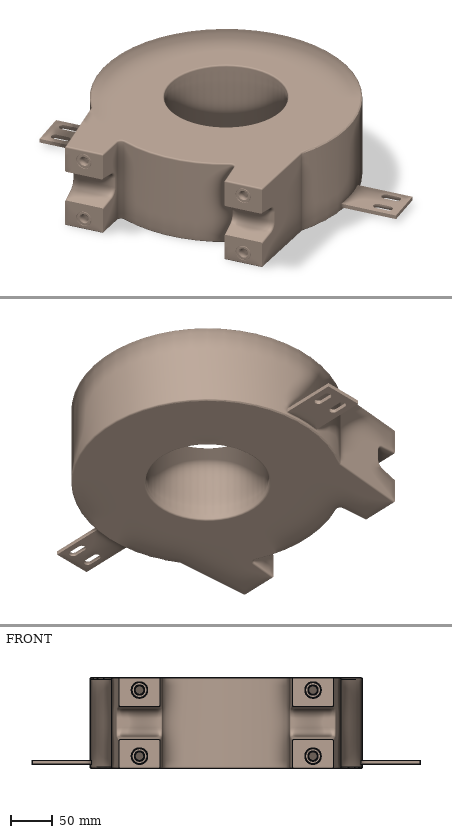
import cadquery as cq
import math

BODY_RADIUS = 165.0
BODY_HEIGHT = 110.0
BORE_DIAMETER = 150.0
RIM_FILLET = 2.0

LEG_END_Y = -190.0
LEG_CENTER_X = 105.0
LEG_END_WIDTH = 50.0
LEG_TAPER = math.tan(math.radians(5.0))
LEG_ROOT_Y = -80.0
LEG_ROOT_FILLET = 5.0

NOTCH_DEPTH = 30.0
NOTCH_MOUTH_WIDTH = 40.0
NOTCH_TAPER = math.tan(math.radians(10.0))
NOTCH_FLOOR_FILLET = 10.0
NOTCH_EDGE_FILLET = 2.0

INSERT_SPACING_Z = 80.0
INSERT_DIAMETER = 20.0
INSERT_GROOVE_WIDTH = 1.0
INSERT_GROOVE_DEPTH = 1.0
INSERT_HOLE_MOUTH_DIAMETER = 12.5
INSERT_HOLE_CHAMFER = 1.0
INSERT_HOLE_DEPTH = 20.0

PLATE_SPAN = 470.0
PLATE_WIDTH = 50.0
PLATE_THICKNESS = 5.0
PLATE_BOTTOM_Z = 5.0
PLATE_EMBEDDING = 10.0
PLATE_SLOT_LENGTH = 25.0
PLATE_SLOT_WIDTH = 10.0
PLATE_SLOT_SPACING = 25.0
PLATE_SLOT_CENTER_X = 212.5

SIDES = (-1, 1)
MID_Z = BODY_HEIGHT / 2
TOLERANCE = 0.01


def leg(side):
    """Tapered leg running from inside the ring to the leg end."""
    half_end = LEG_END_WIDTH / 2
    half_root = half_end + (LEG_ROOT_Y - LEG_END_Y) * LEG_TAPER
    center_x = side * LEG_CENTER_X
    outline = [
        (center_x - half_end, LEG_END_Y),
        (center_x + half_end, LEG_END_Y),
        (center_x + half_root, LEG_ROOT_Y),
        (center_x - half_root, LEG_ROOT_Y),
    ]
    return cq.Workplane("XY").polyline(outline).close().extrude(BODY_HEIGHT)


def notch(side):
    """Tapered channel with a rounded floor, running through one leg along X."""
    overshoot = 10.0
    floor_y = LEG_END_Y + NOTCH_DEPTH
    mouth_y = LEG_END_Y - overshoot
    half_floor = NOTCH_MOUTH_WIDTH / 2 - NOTCH_DEPTH * NOTCH_TAPER
    half_mouth = NOTCH_MOUTH_WIDTH / 2 + overshoot * NOTCH_TAPER
    outline = [
        (mouth_y, MID_Z - half_mouth),
        (floor_y, MID_Z - half_floor),
        (floor_y, MID_Z + half_floor),
        (mouth_y, MID_Z + half_mouth),
    ]
    half_length = LEG_END_WIDTH / 2 + overshoot
    plane = cq.Workplane("YZ", origin=(side * LEG_CENTER_X, 0, 0))
    channel = plane.polyline(outline).close().extrude(half_length, both=True)
    return channel.edges("|X and >Y").fillet(NOTCH_FLOOR_FILLET)


def is_notch_side_edge(edge):
    """True for the notch edges lying on the side faces of the legs."""
    box = edge.BoundingBox()
    half_end = LEG_END_WIDTH / 2
    half_at_floor = half_end + NOTCH_DEPTH * LEG_TAPER
    offset = abs(abs(edge.Center().x) - LEG_CENTER_X)
    on_side = half_end - TOLERANCE < offset < half_at_floor + TOLERANCE
    within_depth = box.ymax < LEG_END_Y + NOTCH_DEPTH + TOLERANCE
    half_mouth = NOTCH_MOUTH_WIDTH / 2 + TOLERANCE
    within_width = box.zmin > MID_Z - half_mouth and box.zmax < MID_Z + half_mouth
    return on_side and within_depth and within_width


def body():
    """Ring and legs with rounded rims, before the notches and inserts."""
    solid = cq.Workplane("XY").circle(BODY_RADIUS).extrude(BODY_HEIGHT)
    for side in SIDES:
        solid = solid.union(leg(side))
    bore = cq.Workplane("XY").circle(BORE_DIAMETER / 2).extrude(BODY_HEIGHT)
    solid = solid.cut(bore)
    half_gap = LEG_CENTER_X - LEG_END_WIDTH / 2
    gap = cq.selectors.BoxSelector(
        (-half_gap, LEG_END_Y + TOLERANCE, 0),
        (half_gap, -BORE_DIAMETER / 2 - TOLERANCE, BODY_HEIGHT),
    )
    solid = solid.edges("|Z").edges(gap).fillet(LEG_ROOT_FILLET)
    return solid.faces("<Z or >Z").edges().fillet(RIM_FILLET)


def insert_cutter(center_x, center_z):
    """Chamfered blind hole with a ring groove around it, cut into a leg end along +Y."""
    mouth_radius = INSERT_HOLE_MOUTH_DIAMETER / 2
    bore_radius = mouth_radius - INSERT_HOLE_CHAMFER
    profile = [
        (0, 0),
        (mouth_radius, 0),
        (bore_radius, INSERT_HOLE_CHAMFER),
        (bore_radius, INSERT_HOLE_DEPTH),
        (0, INSERT_HOLE_DEPTH),
    ]
    hole = cq.Workplane("XY").polyline(profile).close().revolve(360, (0, 0, 0), (0, 1, 0))
    groove_radius = INSERT_DIAMETER / 2
    groove = (
        cq.Workplane("XZ")
        .circle(groove_radius)
        .circle(groove_radius - INSERT_GROOVE_WIDTH)
        .extrude(-INSERT_GROOVE_DEPTH)
    )
    return hole.union(groove).translate((center_x, LEG_END_Y, center_z))


def mounting_plate(side):
    """Flat plate anchored in the ring, with two slots running along X."""
    inner_x = BODY_RADIUS - PLATE_EMBEDDING
    length = PLATE_SPAN / 2 - inner_x
    plate = cq.Workplane("XY").box(length, PLATE_WIDTH, PLATE_THICKNESS, centered=(True, True, False))
    plate = plate.translate((side * (inner_x + length / 2), 0, PLATE_BOTTOM_Z))
    slots = (
        cq.Workplane("XY")
        .pushPoints([(side * PLATE_SLOT_CENTER_X, row * PLATE_SLOT_SPACING / 2) for row in SIDES])
        .slot2D(PLATE_SLOT_LENGTH, PLATE_SLOT_WIDTH)
        .extrude(BODY_HEIGHT)
    )
    return plate.cut(slots)


result = body()
for notch_side in SIDES:
    result = result.cut(notch(notch_side))
notch_edges = [edge for edge in result.edges().vals() if is_notch_side_edge(edge)]
result = result.newObject(notch_edges).fillet(NOTCH_EDGE_FILLET)

for leg_side in SIDES:
    for level in SIDES:
        insert_z = MID_Z + level * INSERT_SPACING_Z / 2
        result = result.cut(insert_cutter(leg_side * LEG_CENTER_X, insert_z))

for plate_side in SIDES:
    result = result.union(mounting_plate(plate_side))